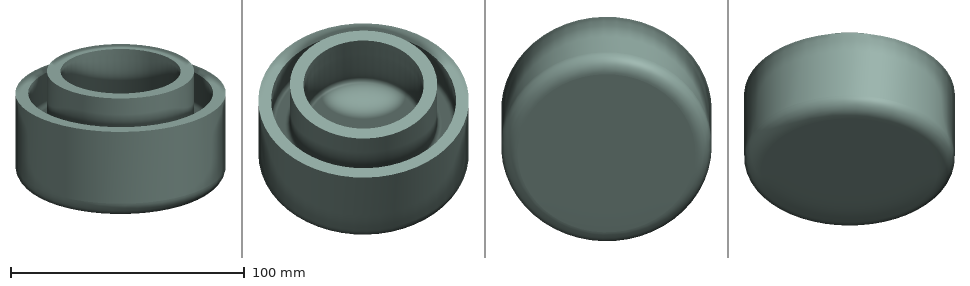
import cadquery as cq

outer_diameter = 90.0
outer_height = 40.0
bottom_fillet = 7.0

tube_diameter = 63.0
total_height = 50.0

groove_diameter = 79.0
groove_floor_z = 25.0

pocket_diameter = 51.4
pocket_floor_z = 25.0

floor_fillet = 2.0


def cylinder(diameter, bottom_z, top_z):
    """Solid cylinder on the Z axis between two heights."""
    return cq.Workplane("XY").workplane(offset=bottom_z).circle(diameter / 2).extrude(top_z - bottom_z)


def make_body():
    """Cup blank with a rounded bottom edge and the solid core of the tube on top."""
    blank = cylinder(outer_diameter, 0, outer_height).faces("<Z").edges().fillet(bottom_fillet)
    core = cylinder(tube_diameter, 0, total_height)
    return blank.union(core)


def make_groove():
    """Cutter for the ring groove, rounded along both bottom edges."""
    ring = cylinder(groove_diameter, groove_floor_z, outer_height)
    ring = ring.cut(cylinder(tube_diameter, groove_floor_z, outer_height))
    return ring.faces("<Z").edges().fillet(floor_fillet)


def make_pocket():
    """Cutter for the pocket in the tube, rounded along its bottom edge."""
    pocket = cylinder(pocket_diameter, pocket_floor_z, total_height)
    return pocket.faces("<Z").edges().fillet(floor_fillet)


result = make_body().cut(make_groove()).cut(make_pocket())